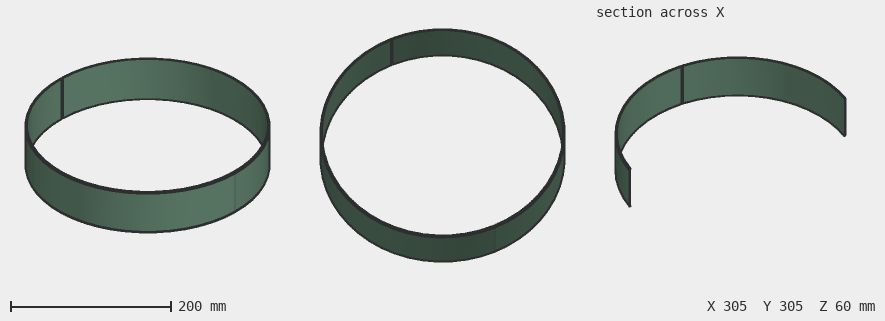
import cadquery as cq

outer_diameter = 305.0
wall_thickness = 2.3
height = 60.0
chamfer_height = 1.8
chamfer_depth = 0.5
split_width = 2.5
cutter_reach = 2 * wall_thickness

outer_radius = outer_diameter / 2
inner_radius = outer_radius - wall_thickness


def make_ring():
    """Revolve the wall section, bevelled on its outer corners, around Z."""
    return (
        cq.Workplane("XZ")
        .moveTo(inner_radius, 0)
        .lineTo(outer_radius - chamfer_depth, 0)
        .lineTo(outer_radius, chamfer_height)
        .lineTo(outer_radius, height - chamfer_height)
        .lineTo(outer_radius - chamfer_depth, height)
        .lineTo(inner_radius, height)
        .close()
        .revolve(360, (0, 0, 0), (0, 1, 0))
    )


def make_split():
    """Full-height gap through the wall on the -X side, with one face on the XZ plane."""
    return (
        cq.Workplane("XY")
        .center(-outer_radius, split_width / 2)
        .rect(2 * cutter_reach, split_width)
        .extrude(height)
    )


result = make_ring().cut(make_split())